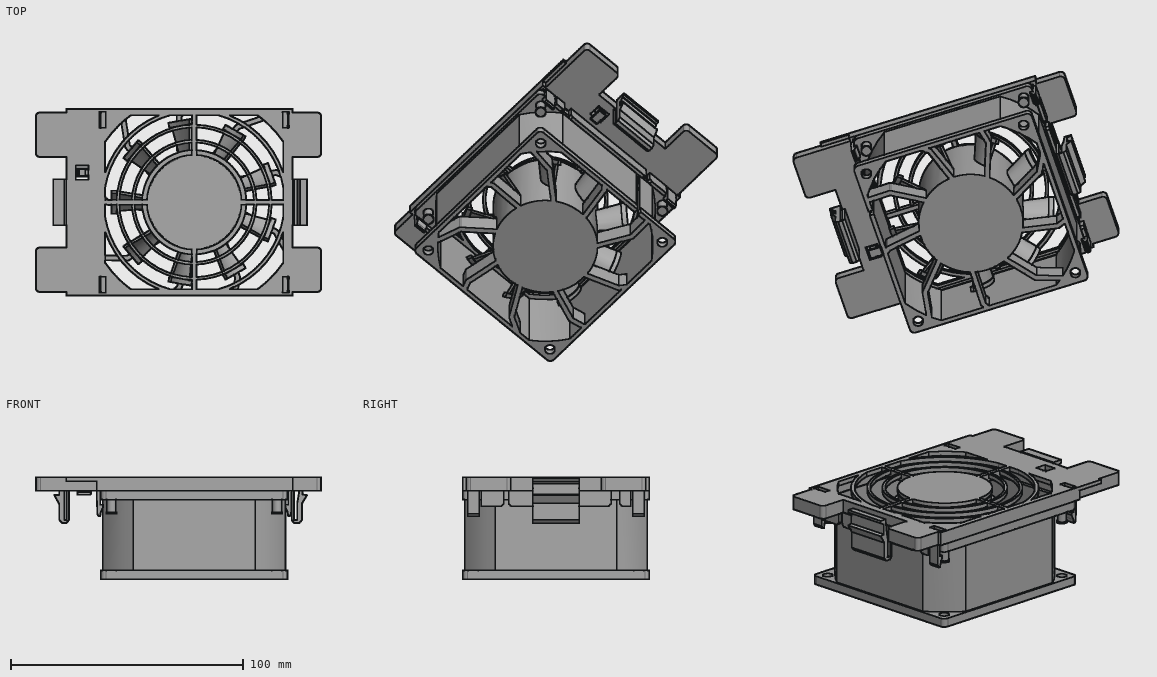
import cadquery as cq
import math


fan_side = 80.6
fan_height = 38.1
flange_thickness = 3.8
flange_corner_radius = 2.1
barrel_side = 78.8
barrel_corner_radius = 47.4
bore_side = 76.8
bore_corner_radius = 46.4
mount_hole_offset = 35.7
mount_hole_diameter = 4.3
cable_slot_width = 1.8
cable_slot_y = -18.0

hub_radius = 22.5
hub_height = 37.1
blade_count = 9
first_blade_angle = 20.0
blade_bottom = 12.3
blade_top = 23.4
blade_root_width = 5.7
blade_tip_width = 8.9
blade_thickness = 1.2
blade_nose = 1.1
blade_sag = 0.7
blade_tip_offset = -0.5
blade_tip_radius = 33.5
tip_plate_width = 10.1
tip_plate_radius = 35.7

strut_height = 9.8
strut_width = 2.2
strut_root_offset = 2.6
strut_elbow_radius = 37.5
strut_bend_angle = -41.0
strut_end_length = 19.7
hub_embed = 1.0

cover_thickness = 5.9
cover_left = -55.1
cover_right = 42.4
cover_depth = 80.6
top_thickness = 2.0
lip_thickness = 1.7
wall_thickness = 1.6
narrow_depth = 77.5
box_half_length = 42.1

tab_left = -68.3
tab_right = 54.7
tab_inner_y = 19.4
tab_outer_y = narrow_depth / 2
tab_corner_radius = 1.8

opening_side_x = 76.8
opening_side_y = 74.9
opening_corner_radius = 46.4
disc_radius = 20.4
disc_boss_radius = 20.0
spoke_width = 2.1
spoke_depth = 3.3
ring_outer_radii = [26.9, 33.5, 40.5]
ring_width = 1.2
outer_ring_width = 1.6

skirt_height = 6.6
skirt_chamfer = 1.1
skirt_spans = [
    ((-32.2, -22.5), ">Y"),
    ((-20.4, 23.7), "|X"),
    ((27.4, 32.2), "<Y"),
]

snap_y = 35.5
snap_width = 5.0
snap_slot_width = 6.9
snap_slot_inner_x = 38.1
snap_slot_outer_x = 40.8
snap_bottom = 27.2
snap_catch_z = 32.2

peg_radius = 2.0
peg_foot_radius = 2.28
peg_bottom = 28.3
peg_foot_height = 0.6

clip_width = 19.9
clip_bottom = 24.2
clip_bend_top = 25.6
right_clip_top = 43.3
clip_root_overlap = 1.2

latch_x = -48.3
latch_y = 12.8
latch_hole_length = 5.4
latch_hole_width = 6.0
latch_left = -50.3
latch_right = -44.3
latch_tongue_width = 3.7
latch_tongue_height = 1.7
latch_chamfer = 0.6
catch_left = -49.6
catch_right = -46.9
catch_width = 2.7
catch_top = 42.4

cover_bottom = fan_height
cover_top = cover_bottom + cover_thickness


def block(x_range, y_range, z_range):
    """Box between two limits on each axis."""
    length, width, height = (high - low for low, high in (x_range, y_range, z_range))
    corner = (x_range[0], y_range[0], z_range[0])
    return cq.Workplane("XY").box(length, width, height, centered=False).translate(corner)


def cylinder(radius, bottom, top):
    """Upright cylinder on the fan axis."""
    return cq.Workplane("XY").workplane(offset=bottom).circle(radius).extrude(top - bottom)


def rounded_square(side_x, side_y, corner_radius, bottom, top):
    """Rectangular prism whose corners are cut by a circle about the fan axis."""
    prism = block((-side_x / 2, side_x / 2), (-side_y / 2, side_y / 2), (bottom, top))
    return prism.intersect(cylinder(corner_radius, bottom, top))


def xz_prism(outline, y_center, width):
    """Prism along Y with its outline given in the XZ plane."""
    return cq.Workplane("XZ", origin=(0, y_center + width / 2, 0)).polyline(outline).close().extrude(width)


def flange(bottom):
    """Square flange with four mounting holes."""
    plate = cq.Workplane("XY").workplane(offset=bottom).rect(fan_side, fan_side).extrude(flange_thickness)
    plate = plate.edges("|Z").fillet(flange_corner_radius)
    holes = (
        cq.Workplane("XY")
        .workplane(offset=bottom)
        .rect(2 * mount_hole_offset, 2 * mount_hole_offset, forConstruction=True)
        .vertices()
        .circle(mount_hole_diameter / 2)
        .extrude(flange_thickness)
    )
    return plate.cut(holes)


def fan_frame(bore):
    """Hollow barrel between two square flanges, with a cable slot on the -X side."""
    upper_flange_bottom = fan_height - flange_thickness
    frame = rounded_square(barrel_side, barrel_side, barrel_corner_radius, 0, fan_height)
    frame = frame.union(flange(0)).union(flange(upper_flange_bottom)).cut(bore)
    cable_slot = block(
        (-fan_side / 2, -bore_side / 2),
        (cable_slot_y - cable_slot_width / 2, cable_slot_y + cable_slot_width / 2),
        (0, upper_flange_bottom),
    )
    return frame.cut(cable_slot)


def vane_section(workplane, width):
    """Closed airfoil-like section, sagging between a bevelled nose and the lower edge."""
    half_width = width / 2
    middle = (blade_bottom + blade_top) / 2
    return (
        workplane.moveTo(-half_width + blade_nose, blade_top)
        .threePointArc((-blade_sag + blade_nose / 2, middle - blade_sag), (half_width, blade_bottom))
        .lineTo(half_width - blade_thickness, blade_bottom)
        .threePointArc(
            (-blade_sag - blade_thickness, middle - blade_sag - blade_thickness),
            (-half_width, blade_top - blade_nose),
        )
        .close()
    )


def blade():
    """Rotor blade along +X that slopes down counterclockwise and ends in a wider tip plate."""
    root_radius = hub_radius - hub_embed
    root = vane_section(cq.Workplane("YZ", origin=(root_radius, 0, 0)), blade_root_width)
    tip_plane = root.workplane(offset=blade_tip_radius - root_radius)
    vane = vane_section(tip_plane.center(blade_tip_offset, 0), blade_tip_width).loft(ruled=True)
    tip_plate = vane_section(cq.Workplane("YZ", origin=(blade_tip_radius, 0, 0)), tip_plate_width)
    return vane.union(tip_plate.extrude(tip_plate_radius - blade_tip_radius))


def strut():
    """Bent stator strut from the hub, under a blade, to the frame wall."""
    root = (hub_radius - hub_embed, strut_root_offset)
    elbow = (strut_elbow_radius, 0)
    bend = math.radians(strut_bend_angle)
    end = (elbow[0] + strut_end_length * math.cos(bend), strut_end_length * math.sin(bend))
    path = cq.Workplane("XY").polyline([root, elbow, end]).offset2D(strut_width / 2)
    return path.extrude(strut_height)


def make_fan():
    bore = rounded_square(bore_side, bore_side, bore_corner_radius, 0, fan_height)
    envelope = rounded_square(barrel_side, barrel_side, barrel_corner_radius, 0, fan_height)
    fan = fan_frame(bore)
    fan = fan.union(cylinder(hub_radius, 0, hub_height))
    for index in range(blade_count):
        angle = first_blade_angle + index * 360 / blade_count
        axis = ((0, 0, 0), (0, 0, 1), angle)
        fan = fan.union(blade().rotate(*axis))
        fan = fan.union(strut().rotate(*axis).intersect(envelope))
    return fan.solids()


def cover_plate():
    """Main plate with a narrower left part under a top lip, and four corner tabs."""
    half_depth = cover_depth / 2
    plate = block((cover_left, cover_right), (-tab_outer_y, tab_outer_y), (cover_bottom, cover_top))
    box_y = (-half_depth, half_depth)
    plate = plate.union(block((-box_half_length, cover_right), box_y, (cover_bottom, cover_top)))
    top_lip = block((cover_left, -box_half_length), box_y, (cover_top - lip_thickness, cover_top))
    plate = plate.union(top_lip)
    for side in (-1, 1):
        y_range = sorted((side * tab_inner_y, side * tab_outer_y))
        tabs = block((tab_left, tab_right), y_range, (cover_bottom, cover_top))
        plate = plate.union(tabs.edges("|Z").fillet(tab_corner_radius))
    return plate


def box_cavity():
    """Hollow under the top of the cover, open toward the fan."""
    half_x = box_half_length - wall_thickness
    half_y = cover_depth / 2 - wall_thickness
    return block((-half_x, half_x), (-half_y, half_y), (cover_bottom, cover_top - top_thickness))


def grille():
    """Centre disc, concentric rings and four spokes across the opening."""
    ring_bottom = cover_top - top_thickness
    spoke_z = (cover_top - spoke_depth, cover_top)
    bars = cylinder(disc_radius, ring_bottom, cover_top)
    bars = bars.union(cylinder(disc_boss_radius, cover_bottom, ring_bottom))
    for outer_radius in ring_outer_radii:
        width = outer_ring_width if outer_radius == ring_outer_radii[-1] else ring_width
        ring = cylinder(outer_radius, ring_bottom, cover_top)
        bars = bars.union(ring.cut(cylinder(outer_radius - width, ring_bottom, cover_top)))
    half_spoke = spoke_width / 2
    half_x = opening_side_x / 2
    half_y = opening_side_y / 2
    bars = bars.union(block((-half_x, half_x), (-half_spoke, half_spoke), spoke_z))
    return bars.union(block((-half_spoke, half_spoke), (-half_y, half_y), spoke_z))


def skirts():
    """Walls that hang beside the upper flange on both X sides."""
    walls = cq.Workplane("XY")
    inner_x = box_half_length - wall_thickness
    for y_range, bevelled_edges in skirt_spans:
        wall = block((inner_x, box_half_length), y_range, (cover_bottom - skirt_height, cover_bottom))
        wall = wall.faces("<Z").edges(bevelled_edges).chamfer(skirt_chamfer)
        walls = walls.union(wall).union(wall.mirror("YZ"))
    return walls


def snap_hook():
    """Hook on the +X, +Y corner that grips the underside of the upper flange."""
    outline = [
        (42.0, cover_bottom),
        (40.6, cover_bottom),
        (40.6, snap_catch_z),
        (39.2, snap_catch_z),
        (39.2, 31.1),
        (40.2, 28.9),
        (40.5, snap_bottom),
        (41.2, snap_bottom),
        (41.8, 28.3),
    ]
    return xz_prism(outline, snap_y, snap_width)


def snap_slot():
    """Slot through the plate above a snap hook."""
    y_range = (snap_y - snap_slot_width / 2, snap_y + snap_slot_width / 2)
    return block((snap_slot_inner_x, snap_slot_outer_x), y_range, (cover_bottom, cover_top))


def at_four_corners(shape):
    right_pair = shape.union(shape.mirror("XZ"))
    return right_pair.union(right_pair.mirror("YZ"))


def peg():
    """Locating peg that passes through a mounting hole of the upper flange."""
    shaft = cylinder(peg_radius, peg_bottom, cover_top - top_thickness)
    foot = cylinder(peg_foot_radius, peg_bottom, peg_bottom + peg_foot_height)
    return shaft.union(foot).translate((mount_hole_offset, mount_hole_offset, 0))


def left_clip():
    """U-shaped spring clip with a barb and a finger grip."""
    outline = [
        (-53.9, cover_bottom),
        (-53.9, clip_bend_top),
        (-55.1, clip_bottom),
        (-57.0, clip_bottom),
        (-58.2, clip_bend_top),
        (-58.2, 32.3),
        (-60.4, 36.4),
        (-58.2, 36.4),
        (-58.2, 39.4),
        (-58.9, 39.6),
        (-58.9, 40.2),
        (-59.8, 41.6),
        (-59.8, 42.2),
        (-60.8, 42.5),
        (-60.8, cover_top),
        (-56.0, cover_top),
        (-56.0, clip_bend_top),
        (-55.1, clip_bend_top),
        (-55.1, cover_bottom),
    ]
    return xz_prism(outline, 0, clip_width)


def right_clip():
    """U-shaped spring clip whose free leg leans outward to a barb and a lip."""
    clip_root = cover_bottom + clip_root_overlap
    outline = [
        (42.0, clip_root),
        (42.0, clip_bend_top),
        (43.0, clip_bottom),
        (45.3, clip_bottom),
        (46.5, clip_bend_top),
        (46.5, 32.7),
        (48.7, 36.3),
        (46.7, 36.7),
        (46.7, 41.2),
        (48.7, 42.2),
        (48.7, right_clip_top),
        (45.6, right_clip_top),
        (45.3, 38.1),
        (44.4, 33.2),
        (44.4, clip_bend_top),
        (43.0, clip_bend_top),
        (43.0, clip_root),
    ]
    return xz_prism(outline, 0, clip_width)


def latch_hole():
    return block(
        (latch_x - latch_hole_length / 2, latch_x + latch_hole_length / 2),
        (latch_y - latch_hole_width / 2, latch_y + latch_hole_width / 2),
        (cover_bottom, cover_top),
    )


def latch_tongue():
    """Bevelled tongue under the latch hole with a catch that stands up inside the hole."""
    tongue_bottom = cover_bottom - latch_tongue_height
    half_width = latch_tongue_width / 2
    tongue = block(
        (latch_left, latch_right),
        (latch_y - half_width, latch_y + half_width),
        (tongue_bottom, cover_bottom),
    )
    tongue = tongue.faces(">Z").edges("|X").chamfer(latch_chamfer)
    tongue = tongue.faces("<Z").edges(">X").chamfer(latch_chamfer)
    catch = block(
        (catch_left, catch_right),
        (latch_y - catch_width / 2, latch_y + catch_width / 2),
        (tongue_bottom, catch_top),
    )
    return tongue.union(catch)


def make_cover():
    opening = rounded_square(opening_side_x, opening_side_y, opening_corner_radius, cover_bottom, cover_top)
    cover = cover_plate().cut(box_cavity()).cut(opening).union(grille().intersect(opening))
    cover = cover.union(skirts())
    cover = cover.cut(at_four_corners(snap_slot())).cut(latch_hole())
    cover = cover.union(at_four_corners(snap_hook())).union(at_four_corners(peg()))
    cover = cover.union(left_clip()).union(right_clip()).union(latch_tongue())
    return cover.solids()


fan = make_fan()
cover = make_cover()
result = cq.Compound.makeCompound([fan.val(), cover.val()])